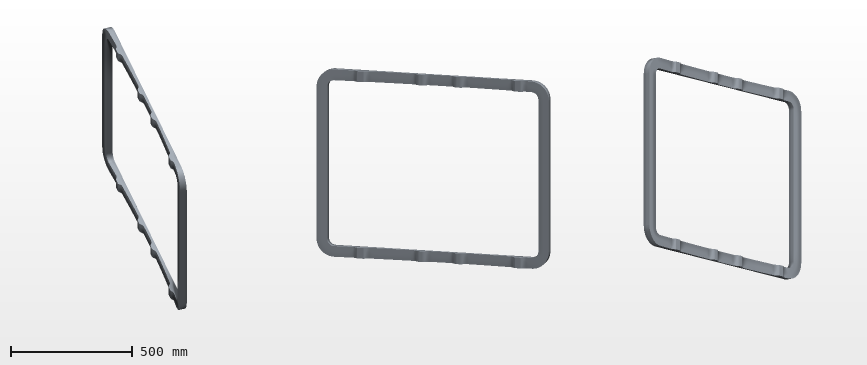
import cadquery as cq
import math

WIDTH = 990.0
HEIGHT = 790.0
DEPTH = 30.0
BAR_WIDTH = 45.0
OUTER_CORNER_RADIUS = 75.0
INNER_CORNER_RADIUS = OUTER_CORNER_RADIUS - BAR_WIDTH
BACK_Y = DEPTH / 2

THINNEST_DEPTH = 10.5
THINNEST_X = 60.0
RIGHT_ARC_RADIUS = 5200.0
LEFT_ARC_RADIUS = 8700.0
ARC_LEFT_X = -457.0
ARC_JOINT_X = 4.0
ARC_RIGHT_X = 478.0

PAD_MIDDLE_X = 27.5
INNER_PAD_OFFSET = 80.0
OUTER_PAD_OFFSET = 335.0
PAD_HEIGHT = 12.0
PAD_CREST_WIDTH = 10.0
PAD_FLANK_RADIUS = 20.0
PAD_FLANK_STRAIGHT = 4.0

LEFT_PADS_X = [PAD_MIDDLE_X - OUTER_PAD_OFFSET, PAD_MIDDLE_X - INNER_PAD_OFFSET]
RIGHT_PADS_X = [PAD_MIDDLE_X + INNER_PAD_OFFSET, PAD_MIDDLE_X + OUTER_PAD_OFFSET]


class ScoopArc:
    """Arc of the hollow face; angles are measured about its centre from +Y towards +X."""

    def __init__(self, centre_x, centre_y, radius):
        self.centre_x = centre_x
        self.centre_y = centre_y
        self.radius = radius

    def angle_at(self, x):
        return math.asin((x - self.centre_x) / self.radius)

    def polar_point(self, radius, angle):
        return (
            self.centre_x + radius * math.sin(angle),
            self.centre_y + radius * math.cos(angle),
        )

    def point_at(self, x):
        return self.polar_point(self.radius, self.angle_at(x))

    def tangent_point(self, touch_x, x):
        """Point at x on the line that touches the arc at touch_x."""
        touch_y = self.point_at(touch_x)[1]
        return (x, touch_y - (x - touch_x) * math.tan(self.angle_at(touch_x)))


def make_scoop_arcs():
    """Left and right arcs; both centres lie on the normal through their joint."""
    right_centre_y = BACK_Y - THINNEST_DEPTH - RIGHT_ARC_RADIUS
    right_arc = ScoopArc(THINNEST_X, right_centre_y, RIGHT_ARC_RADIUS)
    left_centre = right_arc.polar_point(
        RIGHT_ARC_RADIUS - LEFT_ARC_RADIUS, right_arc.angle_at(ARC_JOINT_X)
    )
    return ScoopArc(*left_centre, LEFT_ARC_RADIUS), right_arc


def add_pad(outline, arc, pad_x):
    """Continue the outline rightwards along an arc to a pad and over it."""
    crest_radius = arc.radius - PAD_HEIGHT
    foot_axis_radius = arc.radius - PAD_FLANK_RADIUS
    crest_axis_radius = crest_radius + PAD_FLANK_RADIUS
    axis_spacing = math.hypot(2 * PAD_FLANK_RADIUS, PAD_FLANK_STRAIGHT)
    flank_angle = math.acos(
        (foot_axis_radius**2 + crest_axis_radius**2 - axis_spacing**2)
        / (2 * foot_axis_radius * crest_axis_radius)
    )
    pad_angle = arc.angle_at(pad_x)
    crest_half = PAD_CREST_WIDTH / 2 / crest_radius
    foot_half = crest_half + flank_angle

    def flank_ends(side):
        """Crest-side and foot-side ends of the straight part of one flank."""
        crest_axis = arc.polar_point(crest_axis_radius, pad_angle + side * crest_half)
        foot_axis = arc.polar_point(foot_axis_radius, pad_angle + side * foot_half)
        axis_direction = math.atan2(foot_axis[1] - crest_axis[1], foot_axis[0] - crest_axis[0])
        normal_direction = axis_direction - side * math.atan2(PAD_FLANK_STRAIGHT, 2 * PAD_FLANK_RADIUS)
        step_x = PAD_FLANK_RADIUS * math.cos(normal_direction)
        step_y = PAD_FLANK_RADIUS * math.sin(normal_direction)
        return (
            (crest_axis[0] + step_x, crest_axis[1] + step_y),
            (foot_axis[0] - step_x, foot_axis[1] - step_y),
        )

    left_crest_end, left_foot_end = flank_ends(-1)
    right_crest_end, right_foot_end = flank_ends(1)
    return (
        outline.radiusArc(arc.polar_point(arc.radius, pad_angle - foot_half), arc.radius)
        .radiusArc(left_foot_end, PAD_FLANK_RADIUS)
        .lineTo(*left_crest_end)
        .radiusArc(arc.polar_point(crest_radius, pad_angle - crest_half), -PAD_FLANK_RADIUS)
        .radiusArc(arc.polar_point(crest_radius, pad_angle + crest_half), crest_radius)
        .radiusArc(right_crest_end, -PAD_FLANK_RADIUS)
        .lineTo(*right_foot_end)
        .radiusArc(arc.polar_point(arc.radius, pad_angle + foot_half), PAD_FLANK_RADIUS)
    )


def make_padded_slab():
    """Full-height slab with a flat back and the hollow, padded front."""
    left_x = -WIDTH / 2
    right_x = WIDTH / 2
    left_arc, right_arc = make_scoop_arcs()
    outline = (
        cq.Workplane("XY", origin=(0, 0, -HEIGHT / 2))
        .moveTo(left_x, BACK_Y)
        .lineTo(*left_arc.tangent_point(ARC_LEFT_X, left_x))
        .lineTo(*left_arc.point_at(ARC_LEFT_X))
    )
    for pad_x in LEFT_PADS_X:
        outline = add_pad(outline, left_arc, pad_x)
    outline = outline.radiusArc(left_arc.point_at(ARC_JOINT_X), LEFT_ARC_RADIUS)
    for pad_x in RIGHT_PADS_X:
        outline = add_pad(outline, right_arc, pad_x)
    return (
        outline.radiusArc(right_arc.point_at(ARC_RIGHT_X), RIGHT_ARC_RADIUS)
        .lineTo(*right_arc.tangent_point(ARC_RIGHT_X, right_x))
        .lineTo(right_x, BACK_Y)
        .close()
        .extrude(HEIGHT)
    )


def rounded_block(width, height, corner_radius):
    block = cq.Workplane("XZ").rect(width, height).extrude(DEPTH / 2, both=True)
    return block.edges("|Y").fillet(corner_radius)


def make_frame():
    outer = rounded_block(WIDTH, HEIGHT, OUTER_CORNER_RADIUS)
    opening = rounded_block(WIDTH - 2 * BAR_WIDTH, HEIGHT - 2 * BAR_WIDTH, INNER_CORNER_RADIUS)
    return outer.cut(opening)


result = make_frame().intersect(make_padded_slab())